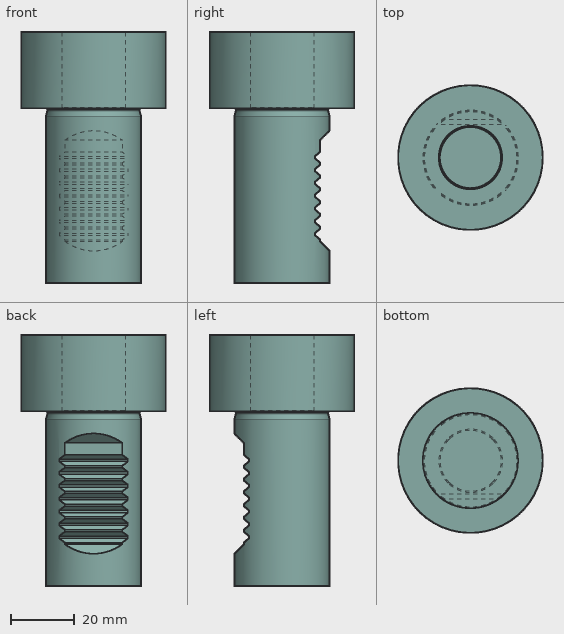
import cadquery as cq

total_height = 79
head_diameter = 45.6
head_height = 24.0
shank_diameter = 30
head_bottom = total_height - head_height

neck_diameter = 29.1
neck_height = 0.7
neck_bottom = head_bottom - neck_height
flare_height = 0.4
flare_width = 0.15
runout_height = 1.7

bore_diameter = 20.0
bore_depth = head_height
bore_floor_chamfer = 0.4

flat_y = 12.0
tooth_depth = 1.6
tooth_pitch = 4.0
root_width = 0.7
flank_height = 1.35
groove_count = 7
lowest_root_z = 15.4
flat_bottom = 13.2
flat_top = 45
ramp_reach = shank_diameter / 2 - flat_y


def make_body():
    head_radius = head_diameter / 2
    shank_radius = shank_diameter / 2
    neck_radius = neck_diameter / 2
    half_section = (
        cq.Workplane("XZ")
        .moveTo(0, 0)
        .lineTo(shank_radius, 0)
        .lineTo(shank_radius, neck_bottom - runout_height)
        .lineTo(neck_radius, neck_bottom)
        .lineTo(neck_radius, head_bottom - flare_height)
        .lineTo(neck_radius + flare_width, head_bottom)
        .lineTo(head_radius, head_bottom)
        .lineTo(head_radius, total_height)
        .lineTo(0, total_height)
        .close()
    )
    return half_section.revolve(360, (0, 0, 0), (0, 1, 0))


def make_bore():
    bore = (
        cq.Workplane("XY")
        .workplane(offset=total_height - bore_depth)
        .circle(bore_diameter / 2)
        .extrude(bore_depth)
    )
    return bore.faces("<Z").chamfer(bore_floor_chamfer)


def extrude_across_shank(points):
    """Extrude a closed YZ outline through the full shank width."""
    return cq.Workplane("YZ").polyline(points).close().extrude(shank_diameter / 2, both=True)


def make_flat_cut():
    outer_y = flat_y + 2 * ramp_reach
    return extrude_across_shank([
        (flat_y, flat_bottom),
        (flat_y, flat_top),
        (outer_y, flat_top + 2 * ramp_reach),
        (outer_y, flat_bottom - 2 * ramp_reach),
    ])


def make_tooth_groove(root_z):
    root_y = flat_y - tooth_depth
    root_half = root_width / 2
    mouth_half = root_half + flank_height
    return extrude_across_shank([
        (root_y, root_z - root_half),
        (root_y, root_z + root_half),
        (flat_y, root_z + mouth_half),
        (flat_y, root_z - mouth_half),
    ])


result = make_body().cut(make_bore()).cut(make_flat_cut())
for index in range(groove_count):
    result = result.cut(make_tooth_groove(lowest_root_z + index * tooth_pitch))